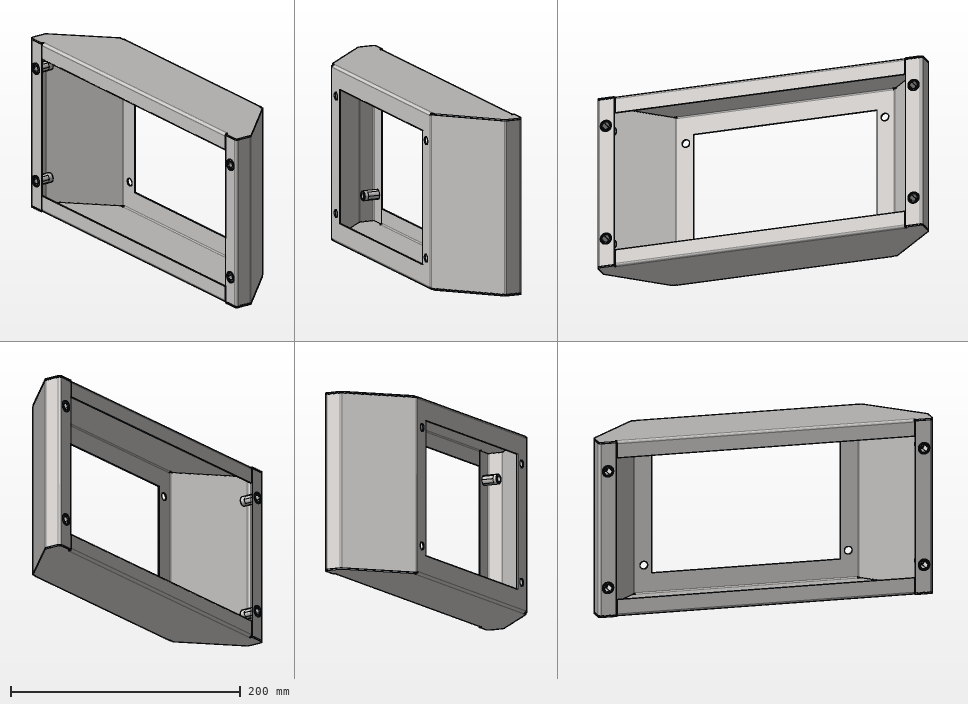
import cadquery as cq
import math

WIDTH = 302.0
HEIGHT = 158.0
DEPTH = 65.0
SHEET = 1.2
BEND_RADIUS = 2.25
STRAIGHT_SIDE = 16.0
SLANT_ANGLE = 45.0
SEAM = 0.15

SIDE_FLANGE = 15.7
PLATE_FLANGE_INSET = 16.5
PLATE_FLANGE = 15.0
BACK_BEND_INSET = 1.5

WINDOW_WIDTH = 170.3
WINDOW_HEIGHT = 120.0
BACK_HOLE_DIAMETER = 7.0
BACK_HOLE_X = 92.5
HOLE_Z = 52.5

NUT_INSET = 8.2
NUT_HEAD_DIAMETER = 10.3
NUT_HEAD_THICKNESS = 0.5
NUT_BARREL_DIAMETER = 8.8
NUT_HEX = 6.5
NUT_LENGTH = 15.7
NUT_HEX_DEPTH = 12.0
NUT_REAR_HOLE_DIAMETER = 5.0
NUT_END_CHAMFER = 0.5

SLANT_RUN = (DEPTH - STRAIGHT_SIDE) / math.tan(math.radians(SLANT_ANGLE))
BACK_HALF_WIDTH = WIDTH / 2 - SLANT_RUN
WALL_HEIGHT = HEIGHT - 2 * (SHEET + SEAM)
BACK_BEND_WIDTH = 2 * (BACK_HALF_WIDTH - BACK_BEND_INSET)
PLATE_FLANGE_WIDTH = WIDTH - 2 * PLATE_FLANGE_INSET
NUT_X = WIDTH / 2 - NUT_INSET


def block(width, depth, height, front=0.0):
    """Box centred on X and Z whose front face lies at y = front."""
    return cq.Workplane("XY").box(width, depth, height).translate((0, front + depth / 2, 0))


def tapered_prism(inset, height):
    """Upright prism of the frame plan, moved inwards by inset, with its bends rounded."""
    side = WIDTH / 2 - inset
    knee = STRAIGHT_SIDE - inset * math.tan(math.radians(SLANT_ANGLE / 2))
    back = BACK_HALF_WIDTH - inset * math.tan(math.radians((90 - SLANT_ANGLE) / 2))
    plan = [
        (-side, inset), (side, inset), (side, knee),
        (back, DEPTH - inset), (-back, DEPTH - inset), (-side, knee),
    ]
    prism = cq.Workplane("XY").polyline(plan).close().extrude(height / 2, both=True)
    return prism.edges("|Z").fillet(BEND_RADIUS - inset)


def sleeve(width):
    """Rectangular tube along X that holds the front and back bends of the plates."""
    outer = block(width, DEPTH, HEIGHT).edges("|X").fillet(BEND_RADIUS)
    inner = block(width, DEPTH - 2 * SHEET, HEIGHT - 2 * SHEET, SHEET)
    return outer.cut(inner.edges("|X").fillet(BEND_RADIUS - SHEET))


def make_side_walls():
    """Side walls with their front flanges, joined by the back panel."""
    walls = tapered_prism(0, WALL_HEIGHT).cut(tapered_prism(SHEET, HEIGHT))
    walls = walls.cut(block(WIDTH - 2 * SIDE_FLANGE, BEND_RADIUS, HEIGHT))
    bend_room = block(BACK_BEND_WIDTH, BEND_RADIUS, HEIGHT, DEPTH - BEND_RADIUS)
    panel_room = block(WIDTH, DEPTH, HEIGHT - 2 * BEND_RADIUS)
    return walls.cut(bend_room.cut(panel_room))


def make_plates():
    """Flat top and bottom plates, full depth only at the front corners."""
    plates = tapered_prism(0, HEIGHT).cut(block(WIDTH, DEPTH, HEIGHT - 2 * SHEET))
    front_notch = block(WIDTH - 2 * SIDE_FLANGE, BEND_RADIUS, HEIGHT)
    back_trim = block(WIDTH, BEND_RADIUS, HEIGHT, DEPTH - BEND_RADIUS)
    return plates.cut(front_notch).cut(back_trim)


def make_front_flanges():
    """Bends and flanges along the front of the top and bottom plates."""
    flanges = sleeve(PLATE_FLANGE_WIDTH).intersect(block(WIDTH, BEND_RADIUS, HEIGHT))
    return flanges.cut(block(WIDTH, BEND_RADIUS, HEIGHT - 2 * PLATE_FLANGE))


def make_back_bends():
    """Bends that carry the top and bottom plates on the back panel."""
    return sleeve(BACK_BEND_WIDTH).intersect(block(WIDTH, BEND_RADIUS, HEIGHT, DEPTH - BEND_RADIUS))


def rod(diameter, length, x, z, front):
    """Cylinder along +Y that starts at y = front."""
    return cq.Workplane("XZ", origin=(x, front, z)).circle(diameter / 2).extrude(-length)


def hexagon(across_flats):
    """Corner points of a regular hexagon with two flats parallel to X."""
    radius = across_flats / math.sqrt(3)
    angles = [math.radians(60 * corner) for corner in range(6)]
    return [(radius * math.cos(angle), radius * math.sin(angle)) for angle in angles]


def corners(half_width):
    """The four mirrored positions of the back holes or of the rivet nuts."""
    return [(sx * half_width, sz * HOLE_Z) for sx in (-1, 1) for sz in (-1, 1)]


def make_frame():
    """Whole bent sheet frame with its window, mounting holes and rivet nut holes."""
    frame = make_side_walls().union(make_back_bends()).union(make_plates()).union(make_front_flanges())
    frame = frame.cut(block(WINDOW_WIDTH, DEPTH, WINDOW_HEIGHT, DEPTH / 2))
    for x, z in corners(BACK_HOLE_X):
        frame = frame.cut(rod(BACK_HOLE_DIAMETER, DEPTH, x, z, DEPTH / 2))
    for x, z in corners(NUT_X):
        frame = frame.cut(rod(NUT_BARREL_DIAMETER, SHEET, x, z, 0))
    return frame.solids().val()


def make_rivet_nut(x, z):
    """Hollow barrel through the side flange with a thin head on the front face."""
    head = rod(NUT_HEAD_DIAMETER, NUT_HEAD_THICKNESS, x, z, -NUT_HEAD_THICKNESS)
    barrel = rod(NUT_BARREL_DIAMETER, NUT_LENGTH, x, z, 0).faces(">Y").chamfer(NUT_END_CHAMFER)
    front = cq.Workplane("XZ", origin=(x, -NUT_HEAD_THICKNESS, z))
    socket = front.polyline(hexagon(NUT_HEX)).close().extrude(-NUT_HEX_DEPTH)
    rear_hole = rod(NUT_REAR_HOLE_DIAMETER, NUT_LENGTH, x, z, 0)
    return head.union(barrel).cut(socket).cut(rear_hole).val()


frame = make_frame()
rivet_nuts = [make_rivet_nut(x, z) for x, z in corners(NUT_X)]

result = cq.Compound.makeCompound([frame, *rivet_nuts])